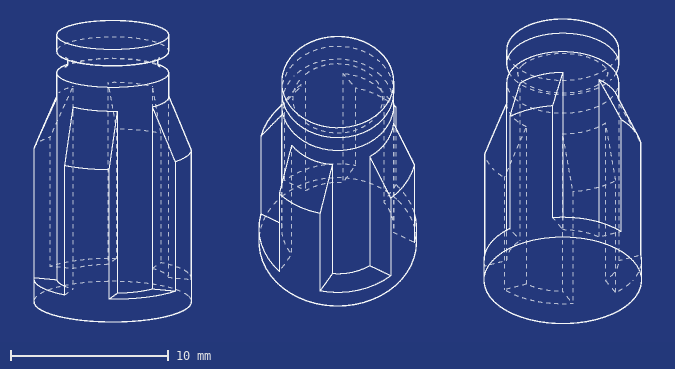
import cadquery as cq

total_height = 17.5
flange_height = 1.5
rib_shoulder_height = 10.0
rib_top_height = 13.44
groove_middle = 15.72

outer_radius = 10.0 / 2
body_radius = 7.1 / 2
groove_radius = 0.7
neck_radius = body_radius - groove_radius
rib_width = 3.0
rib_count = 4


def make_core():
    """Flange, body, grooved neck and head as one revolved profile."""
    groove_bottom = groove_middle - groove_radius
    groove_top = groove_middle + groove_radius
    return (
        cq.Workplane("XZ")
        .lineTo(outer_radius, 0)
        .lineTo(outer_radius, flange_height)
        .lineTo(body_radius, flange_height)
        .lineTo(body_radius, groove_bottom)
        .threePointArc((neck_radius, groove_middle), (body_radius, groove_top))
        .lineTo(body_radius, total_height)
        .lineTo(0, total_height)
        .close()
        .revolve(360, (0, 0, 0), (0, 1, 0))
    )


def make_ribs():
    """Straight-sided ribs with a round outer face that tapers into the body."""
    envelope = (
        cq.Workplane("XZ")
        .lineTo(outer_radius, 0)
        .lineTo(outer_radius, rib_shoulder_height)
        .lineTo(body_radius, rib_top_height)
        .lineTo(0, rib_top_height)
        .close()
        .revolve(360, (0, 0, 0), (0, 1, 0))
    )
    bars = cq.Workplane("XY")
    for index in range(rib_count // 2):
        bar = cq.Workplane("XY").box(
            2 * outer_radius, rib_width, rib_top_height, centered=(True, True, False)
        )
        bars = bars.add(bar.rotate((0, 0, 0), (0, 0, 1), index * 360 / rib_count))
    return bars.combine().intersect(envelope)


result = make_core().union(make_ribs())